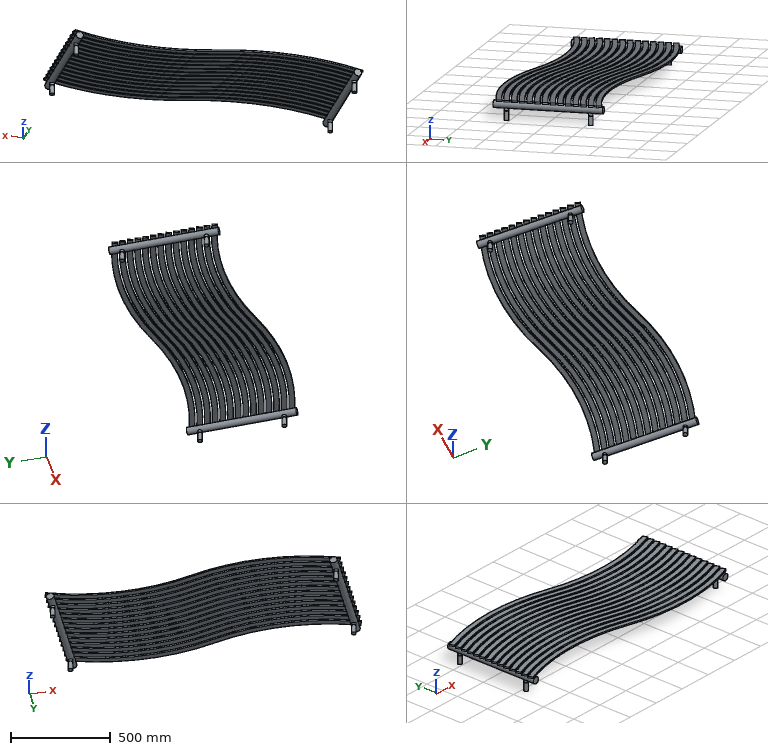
import cadquery as cq
import math

total_length = 1515.0
total_height = 108.0
foot_x = 725.0
foot_y = 220.0

slat_count = 14
slat_row_width = 520.0
slat_pitch = slat_row_width / (slat_count - 1)
slat_width = 29.0
slat_thickness = 9.0
wave_radius = 1174.0
corner_overhang = 4.7
slat_end_x = total_length / 2 - corner_overhang
slat_end_rise = 10.0

tube_radius = 20.0
tube_length = 570.0
tube_sink = 2.0
dome_height = 5.0

foot_radius = 12.0
stub_radius = foot_radius
foot_height = 50.0
foot_chamfer = 2.3

slat_bottom_z = total_height - slat_thickness
tube_z = slat_bottom_z + tube_sink - tube_radius

chord = math.hypot(slat_end_x, slat_end_rise)
chord_tilt = math.atan2(slat_end_rise, slat_end_x)
half_angle = math.asin(chord / 2 / wave_radius)
middle_angle = math.pi / 2 + chord_tilt - half_angle
peak_angle = math.pi / 2 + chord_tilt
end_angle = math.pi / 2 + chord_tilt + half_angle
arc_centre_x = -wave_radius * math.cos(middle_angle)
arc_centre_y = -wave_radius * math.sin(middle_angle)


def left_point(radius, angle):
    """Point on the -X arc at a given radius and direction from its centre."""
    return (arc_centre_x + radius * math.cos(angle), arc_centre_y + radius * math.sin(angle))


def right_point(radius, angle):
    """Matching point on the +X arc, turned half a turn about the origin."""
    x, y = left_point(radius, angle)
    return (-x, -y)


def make_slat(offset_y):
    """S-shaped flat bar whose ends are cut square to its centreline."""
    outer = wave_radius + slat_width / 2
    inner = wave_radius - slat_width / 2
    return (
        cq.Workplane("XY", origin=(0, offset_y, slat_bottom_z))
        .moveTo(*left_point(outer, end_angle))
        .threePointArc(left_point(outer, peak_angle), left_point(outer, middle_angle))
        .threePointArc(right_point(inner, peak_angle), right_point(inner, end_angle))
        .lineTo(*right_point(outer, end_angle))
        .threePointArc(right_point(outer, peak_angle), right_point(outer, middle_angle))
        .threePointArc(left_point(inner, peak_angle), left_point(inner, end_angle))
        .close()
        .extrude(slat_thickness)
    )


def make_tube(x):
    """Header tube along Y."""
    return (
        cq.Workplane("XZ", origin=(x, tube_length / 2, tube_z))
        .circle(tube_radius)
        .extrude(tube_length)
    )


def make_dome(x):
    """Shallow spherical cap on the +Y end of a header tube."""
    base_y = tube_length / 2
    tip_y = base_y + dome_height
    sphere_radius = (tube_radius**2 + dome_height**2) / (2 * dome_height)
    mid_angle = math.asin(tube_radius / sphere_radius) / 2
    mid_point = (
        sphere_radius * math.sin(mid_angle),
        tip_y - sphere_radius * (1 - math.cos(mid_angle)),
    )
    return (
        cq.Workplane("XY", origin=(x, 0, tube_z))
        .moveTo(0, base_y)
        .lineTo(tube_radius, base_y)
        .threePointArc(mid_point, (0, tip_y))
        .close()
        .revolve(360, (0, 0, 0), (0, 1, 0))
    )


def make_stub(x, y):
    """Short post from the middle of a header tube down to the top of a foot."""
    return (
        cq.Workplane("XY", origin=(x, y, foot_height))
        .circle(stub_radius)
        .extrude(tube_z - foot_height)
    )


def make_radiator(foot_places):
    """Slats, header tubes, dome and stubs joined into one body."""
    body = make_tube(-foot_x).union(make_tube(foot_x)).union(make_dome(foot_x))
    for x, y in foot_places:
        body = body.union(make_stub(x, y))
    for i in range(slat_count):
        body = body.union(make_slat(i * slat_pitch - slat_row_width / 2))
    return body


def make_foot(x, y):
    """Round foot whose chamfered top edge leaves a small groove under the stub."""
    return (
        cq.Workplane("XY", origin=(x, y, 0))
        .circle(foot_radius)
        .extrude(foot_height)
        .faces(">Z")
        .chamfer(foot_chamfer)
    )


foot_places = [(side * foot_x, end * foot_y) for side in (-1, 1) for end in (-1, 1)]

radiator = make_radiator(foot_places)
feet = [make_foot(x, y) for x, y in foot_places]

result = cq.Compound.makeCompound([radiator.val(), *[foot.val() for foot in feet]])